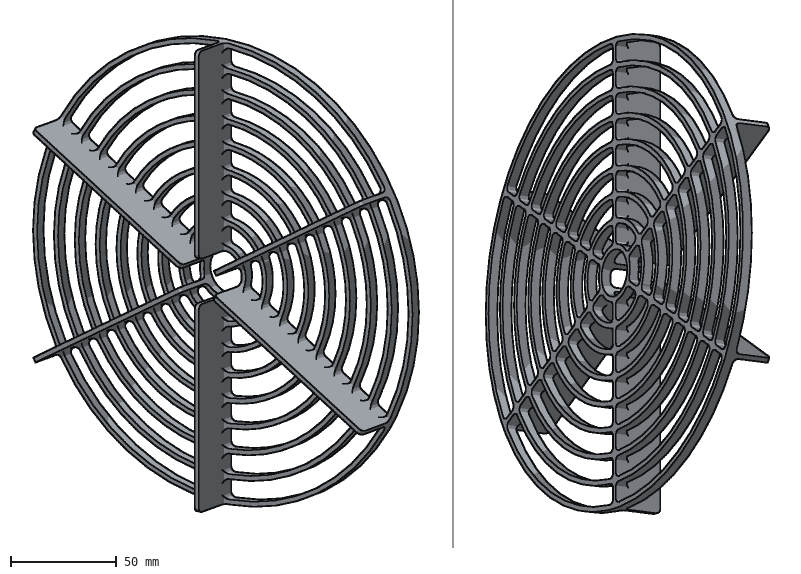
import cadquery as cq
import math

ring_count = 9
ring_pitch = 12.5
ring_width = 2.5
ring_depth = 5.0
blade_count = 6
blade_thickness = 2.5
blade_depth = 25.0
blade_corner_radius = 2.5
joint_radius = 2.5

ring_radii = [ring_pitch * (index + 1) for index in range(ring_count)]
inner_radius = ring_pitch - ring_width / 2
outer_radius = ring_count * ring_pitch + ring_width / 2
half_blade = blade_thickness / 2
joint_reach = half_blade + joint_radius
joint_depth = ring_depth + joint_radius
stub_reach = 5.0


def annulus(inner, outer, depth):
    """Flat ring around the Y axis, from the back toward -Y."""
    return cq.Workplane("XZ").circle(outer).circle(inner).extrude(depth)


def make_ring(ring_radius, depth):
    """Guard ring, given by the radius of its centre line."""
    return annulus(ring_radius - ring_width / 2, ring_radius + ring_width / 2, depth)


def turned(shape, index):
    """Copy of an upright shape turned about the Y axis to a blade position."""
    return shape.rotate((0, 0, 0), (0, 1, 0), index * 360 / blade_count)


def fillet_points(wall_radius, side):
    """Ends and middle of the arc from a blade face to a ring wall.

    side is +1 outside the ring and -1 inside it.
    """
    centre_distance = wall_radius + side * joint_radius
    centre_z = math.sqrt(centre_distance**2 - joint_reach**2)
    wall_angle = math.atan2(-side * centre_z, -side * joint_reach)
    blade_angle = -side * math.pi
    middle_angle = (blade_angle + wall_angle) / 2

    def on_arc(angle):
        return (
            joint_reach + joint_radius * math.cos(angle),
            centre_z + joint_radius * math.sin(angle),
        )

    return on_arc(blade_angle), on_arc(middle_angle), on_arc(wall_angle)


def side_fillets(ring_radius):
    """Plan of the fillets on both walls of a ring, on the +X side of the upright blade."""
    outer_blade, outer_middle, outer_wall = fillet_points(ring_radius + ring_width / 2, 1)
    inner_blade, inner_middle, inner_wall = fillet_points(ring_radius - ring_width / 2, -1)
    return (
        cq.Workplane("XZ")
        .moveTo(0, outer_blade[1])
        .lineTo(*outer_blade)
        .threePointArc(outer_middle, outer_wall)
        .lineTo(*inner_wall)
        .threePointArc(inner_middle, inner_blade)
        .lineTo(0, inner_blade[1])
        .close()
        .extrude(joint_depth)
    )


def front_fillets():
    """Bar along the upright blade whose front flares from the ring faces into the blade."""
    arc_middle = joint_radius * (1 - math.sqrt(0.5))
    half_bar = (
        cq.Workplane("XY")
        .lineTo(stub_reach, 0)
        .lineTo(stub_reach, -ring_depth)
        .lineTo(joint_reach, -ring_depth)
        .threePointArc(
            (half_blade + arc_middle, -ring_depth - arc_middle), (half_blade, -joint_depth)
        )
        .lineTo(0, -joint_depth)
        .close()
        .extrude(outer_radius)
    )
    return half_bar.union(half_bar.mirror("YZ"))


def make_joint(ring_radius):
    """Stub of one ring, flared into both sides of the upright blade."""
    half_plan = side_fillets(ring_radius)
    plan = make_ring(ring_radius, joint_depth).union(half_plan).union(half_plan.mirror("YZ"))
    return plan.intersect(front_fillets())


def make_blade():
    """Upright blade, curved at both ends to follow the inner and outer rings."""
    blank = annulus(inner_radius, outer_radius, blade_depth)
    blank = blank.faces("<Y").edges().fillet(blade_corner_radius)
    slab = cq.Workplane("XY").box(
        blade_thickness, blade_depth, outer_radius, centered=(True, False, False)
    )
    return blank.intersect(slab.translate((0, -blade_depth, 0)))


def make_spoke():
    """Upright blade with its joints, trimmed to the inner and outer rings."""
    joints = cq.Workplane("XZ")
    for radius in ring_radii:
        joints = joints.add(make_joint(radius))
    joints = joints.combine().intersect(annulus(inner_radius, outer_radius, joint_depth))
    return make_blade().union(joints)


def make_ring_arcs():
    """Pieces of the rings that bridge from one spoke to the next."""
    spoke_gap = cq.Workplane("XY").box(
        2 * stub_reach, 2 * ring_depth, outer_radius, centered=(True, True, False)
    )
    arcs = cq.Workplane("XZ")
    for radius in ring_radii:
        arcs = arcs.add(make_ring(radius, ring_depth))
    arcs = arcs.combine()
    for index in range(blade_count):
        arcs = arcs.cut(turned(spoke_gap, index))
    return arcs.solids().vals()


spoke = make_spoke().val()
spokes = [turned(spoke, index) for index in range(blade_count)]
result = cq.Workplane(spokes[0].fuse(*spokes[1:], *make_ring_arcs()).clean())